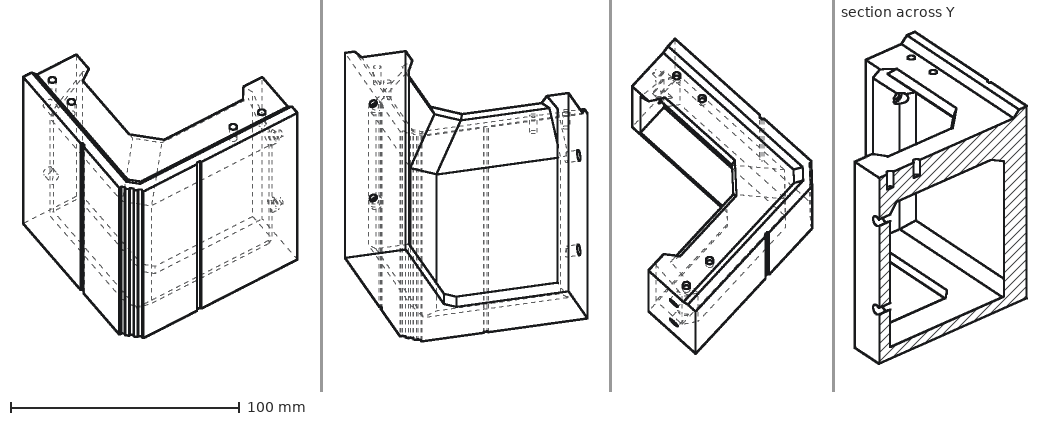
import cadquery as cq
import math

length_x = 83.45
length_y = 88.45
height = 100.0
front_leg_width = 28.0
side_leg_width = 27.8
outer_corner_chamfer = 7.8
inner_corner_chamfer = 4.3

lip_height = 3.25
lip_top_front = 4.6
lip_base_front = 7.2
lip_top_side = 4.5
lip_base_side = 7.6
lip_corner_bevel = 4.2

back_wall = 7.6
end_wall = 5.0
floor_thickness = 5.0
pocket_chamfer = 5.0
pocket_corner_bevel = 9.2
throat_depth = 4.1
throat_height = 92.75
mouth_depth = 6.0

groove_width = 2.3
groove_base_width = 1.4
groove_depth = 0.75
groove_offset = 37.0
corner_groove_count = 3
corner_groove_pitch = 3.8

top_hole_diameter = 3.3
top_hole_depth = 8.0
top_hole_inset = 11.2
top_hole_spacing = 15.0
front_hole_from_end = 6.3
side_hole_from_end = 11.3
joint_hole_inset = 12.95
joint_hole_heights = (27.35, 73.35)
insert_diameter = 4.7
screw_diameter = 3.2
screw_head_diameter = 6.0
screw_seat_thickness = 3.0

deck = height - lip_height
inside_x = length_x - side_leg_width
inside_y = front_leg_width
back_x = length_x - back_wall
back_y = back_wall
end_x = end_wall
end_y = length_y - end_wall
ridge_x = inside_x + throat_depth
ridge_y = inside_y - throat_depth
joint_hole_length = end_wall + pocket_chamfer
cutter_span = 4 * length_y


def prism(points, depth):
    return cq.Workplane("XY").polyline(points).close().extrude(depth)


def half_space(point, normal):
    """Block filling the side of a plane that its normal points to."""
    plane = cq.Plane(origin=point, normal=normal)
    return cq.Workplane(plane).rect(cutter_span, cutter_span).extrude(cutter_span)


def trim(body, planes):
    """Remove everything beyond each (point, outward normal) plane."""
    for point, normal in planes:
        body = body.cut(half_space(point, normal))
    return body


def cylinder(start, direction, diameter, length):
    solid = cq.Solid.makeCylinder(diameter / 2, length, cq.Vector(*start), cq.Vector(*direction))
    return cq.Workplane("XY").add(solid)


def make_block():
    outline = [
        (0, 0),
        (length_x - outer_corner_chamfer, 0),
        (length_x, outer_corner_chamfer),
        (length_x, length_y),
        (inside_x, length_y),
        (inside_x, inside_y + inner_corner_chamfer),
        (inside_x - inner_corner_chamfer, inside_y),
        (0, inside_y),
    ]
    return prism(outline, height)


def make_lip_cut():
    """Space above the deck, bounded by the sloping inner faces of the lip."""
    front_slope = (lip_base_front - lip_top_front) / lip_height
    side_slope = (lip_base_side - lip_top_side) / lip_height
    foot_x = length_x - lip_base_side
    planes = [
        ((0, lip_base_front, deck), (0, -1, -front_slope)),
        ((foot_x, 0, deck), (1, 0, -side_slope)),
        ((foot_x - lip_corner_bevel, lip_base_front, deck), (1, -1, -front_slope - side_slope)),
    ]
    return trim(half_space((0, 0, deck), (0, 0, 1)), planes)


def make_pocket():
    """Void of both legs: a deep room under a sloping roof, topped by a mouth that flares upward."""
    size = (back_x - end_x, end_y - back_y, deck - floor_thickness)
    room = cq.Workplane("XY").box(*size, centered=False).translate((end_x, back_y, floor_thickness))

    back_bevels = [
        ((back_x - pocket_chamfer, 0, floor_thickness), (1, 0, -1)),
        ((0, back_y + pocket_chamfer, floor_thickness), (0, -1, -1)),
        ((back_x, end_y - pocket_chamfer, 0), (1, 1, 0)),
        ((end_x + pocket_chamfer, back_y, 0), (-1, -1, 0)),
    ]
    tilt = math.sqrt(0.5)
    end_bevels = [
        ((ridge_x, end_y - pocket_chamfer, throat_height), (tilt, 1, tilt)),
        ((end_x + pocket_chamfer, ridge_y, throat_height), (-1, -tilt, tilt)),
    ]
    room = trim(room, back_bevels + end_bevels)

    side_ridge = (ridge_x, 0, throat_height)
    front_ridge = (0, ridge_y, throat_height)
    corner_ridge = (ridge_x, ridge_y + pocket_corner_bevel, throat_height)
    roof = [
        (side_ridge, (1, 0, 1)),
        (front_ridge, (0, -1, 1)),
        (corner_ridge, (1, -1, 2)),
        ((back_x, back_y + pocket_corner_bevel, 0), (1, -1, 0)),
    ]
    flare = (mouth_depth - throat_depth) / (deck - throat_height)
    mouth = [
        (side_ridge, (0, 0, -1)),
        (side_ridge, (1, 0, -flare)),
        (front_ridge, (0, -1, -flare)),
        (corner_ridge, (1, -1, -flare)),
    ]
    return trim(room, roof).union(trim(room, mouth))


def make_groove(x, y, inward_angle):
    """Full-height trapezoidal groove that narrows inward from the face at (x, y)."""
    half_width = groove_width / 2
    half_base = groove_base_width / 2
    profile = [
        (0, -half_width),
        (groove_depth, -half_base),
        (groove_depth, half_base),
        (0, half_width),
    ]
    groove = prism(profile, height).rotate((0, 0, 0), (0, 0, 1), inward_angle)
    return groove.translate((x, y, 0))


def make_grooves():
    grooves = make_groove(length_x - groove_offset, 0, 90)
    grooves = grooves.union(make_groove(length_x, groove_offset, 180))
    middle_x = length_x - outer_corner_chamfer / 2
    middle_y = outer_corner_chamfer / 2
    step = corner_groove_pitch * math.sqrt(0.5)
    for index in range(corner_groove_count):
        shift = (index - (corner_groove_count - 1) / 2) * step
        grooves = grooves.union(make_groove(middle_x + shift, middle_y + shift, 135))
    return grooves


def make_top_holes():
    """Two blind holes in the deck near the end of each leg."""
    centers = []
    for shift in (0, top_hole_spacing):
        centers.append((front_hole_from_end + shift, top_hole_inset))
        centers.append((length_x - top_hole_inset, length_y - side_hole_from_end - shift))
    holes = cq.Workplane("XY").workplane(offset=deck - top_hole_depth).pushPoints(centers)
    return holes.circle(top_hole_diameter / 2).extrude(top_hole_depth)


def make_joint_holes():
    """Insert holes in the front leg end, counterbored screw holes in the side leg end."""
    screw_x = length_x - joint_hole_inset
    seat_y = length_y - screw_seat_thickness
    head_length = joint_hole_length - screw_seat_thickness
    holes = cq.Workplane("XY")
    for z in joint_hole_heights:
        insert = cylinder((0, joint_hole_inset, z), (1, 0, 0), insert_diameter, joint_hole_length)
        screw = cylinder((screw_x, length_y, z), (0, -1, 0), screw_diameter, joint_hole_length)
        head = cylinder((screw_x, seat_y, z), (0, -1, 0), screw_head_diameter, head_length)
        holes = holes.union(insert).union(screw).union(head)
    return holes


result = (
    make_block()
    .cut(make_lip_cut())
    .cut(make_pocket())
    .cut(make_grooves())
    .cut(make_top_holes())
    .cut(make_joint_holes())
)